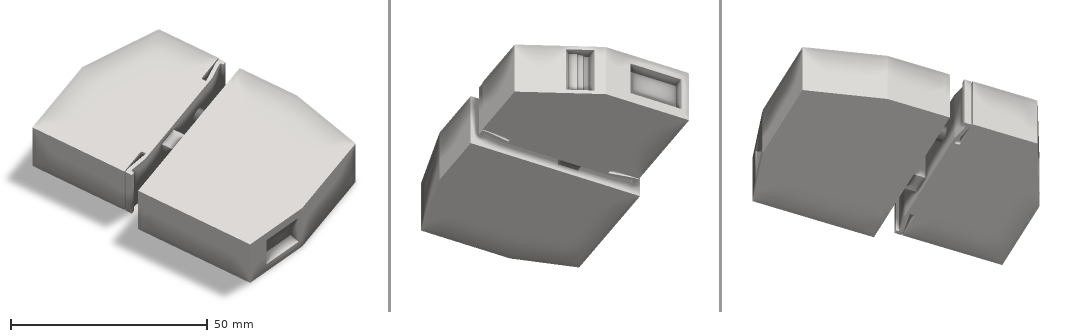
import cadquery as cq
import math

LENGTH = 72.5
WIDTH = 48.5
THICKNESS = 15.1
MID_Z = THICKNESS / 2

PLUG_END = 29.95
PLUG_FRONT = 3.55
PLUG_BEVEL_X = 9.7
PLUG_BEVEL_Y = 27.4

HEADER_START = 34.1
HEADER_TOP_BEVEL_X = 51.3
HEADER_TOP_BEVEL_Y = 42.9
HEADER_LOW_BEVEL_X = 67.8
HEADER_LOW_BEVEL_Y = 17.4

PIN_DIAMETER = 4.05
PIN_Y = 34.8
BLOCK_Y = 17.8
BLOCK_WIDTH = 5.7
BLOCK_HEIGHT = 11.1

LATCH_DEPTH = 2.25
LATCH_SLIT = 0.3
LATCH_SLIT_LENGTH = 1.6
LATCH_SLOT_LENGTH = 8.05
LATCH_SLOT_END_WIDTH = 1.45
LATCH_SLOT_RADIUS = 0.5
HOOK_REACH = 0.9
HOOK_THICKNESS = 1.1
HOOK_NECK_END = 1.8
LATCH_ROOT = 6.4
TOP_LATCH_SETBACK = 0.2
TOP_LATCH_TIP = WIDTH - TOP_LATCH_SETBACK

WINDOW_HEIGHT = 9.4
WINDOW_DEPTH = 3.05
END_WINDOW_LOW_Y = 5.8
END_WINDOW_HIGH_Y = 20.4
BEVEL_WINDOW_OFFSET = 1.2
BEVEL_WINDOW_LENGTH = 11.2

ENTRY_HIGH_Y = 36.7
ENTRY_LOW_Y = 30.1
ENTRY_HEIGHT = 12.9
ENTRY_STEPS = ((1.6, 1.8), (0.4, 1.15), (0.5, 1.1))
ENTRY_RISER_SLOPE = 0.8
PLUG_BEVEL_SLOPE = PLUG_BEVEL_X / (WIDTH - PLUG_BEVEL_Y)


def prism(points, height=THICKNESS):
    """Extrude a plan outline, centred on the part's mid-thickness."""
    base = (THICKNESS - height) / 2
    return cq.Workplane("XY").workplane(offset=base).polyline(points).close().extrude(height)


def box(x_range, y_range, height):
    """Make a mid-thickness block from its plan extents."""
    (x0, x1), (y0, y1) = x_range, y_range
    return prism([(x0, y0), (x1, y0), (x1, y1), (x0, y1)], height)


def plug_body():
    return prism([
        (0, PLUG_FRONT),
        (PLUG_END, PLUG_FRONT),
        (PLUG_END, WIDTH),
        (PLUG_BEVEL_X, WIDTH),
        (0, PLUG_BEVEL_Y),
    ])


def header_body():
    return prism([
        (HEADER_START, 0),
        (HEADER_LOW_BEVEL_X, 0),
        (LENGTH, HEADER_LOW_BEVEL_Y),
        (LENGTH, HEADER_TOP_BEVEL_Y),
        (HEADER_TOP_BEVEL_X, WIDTH),
        (HEADER_START, WIDTH),
    ])


def contacts():
    block = box((PLUG_END, HEADER_START), (BLOCK_Y, BLOCK_Y + BLOCK_WIDTH), BLOCK_HEIGHT)
    pin = (
        cq.Workplane("YZ")
        .workplane(offset=PLUG_END)
        .center(PIN_Y, MID_Z)
        .circle(PIN_DIAMETER / 2)
        .extrude(HEADER_START - PLUG_END)
    )
    return block.union(pin)


def latch_cuts(tip, inward, outer):
    """Free a hooked arm: `inward` is the Y sign into the plug, `outer` the plug edge."""
    slot_x = PLUG_END - LATCH_DEPTH
    slit_x = slot_x + LATCH_SLIT
    slot_end = tip + inward * LATCH_SLOT_LENGTH
    neck_x = PLUG_END - HOOK_REACH
    slot = prism([
        (slot_x, outer),
        (slit_x, outer),
        (slit_x, tip + inward * LATCH_SLIT_LENGTH),
        (slot_x + LATCH_SLOT_END_WIDTH, slot_end),
        (slot_x, slot_end),
    ])
    corner = cq.selectors.NearestToPointSelector((slot_x, slot_end, MID_Z))
    slot = slot.edges("|Z").edges(corner).fillet(LATCH_SLOT_RADIUS)
    relief = prism([
        (PLUG_END, tip + inward * HOOK_THICKNESS),
        (neck_x, tip + inward * HOOK_THICKNESS),
        (neck_x, tip + inward * HOOK_NECK_END),
        (PLUG_END, tip + inward * LATCH_ROOT),
    ])
    cuts = slot.union(relief)
    if tip != outer:
        cuts = cuts.union(box((slot_x, PLUG_END), sorted((tip, outer)), THICKNESS))
    return cuts


def end_window():
    return box((0, WINDOW_DEPTH), (END_WINDOW_LOW_Y, END_WINDOW_HIGH_Y), WINDOW_HEIGHT)


def bevel_window():
    """Window cut square to the header's lower bevel."""
    run_x = LENGTH - HEADER_LOW_BEVEL_X
    run_y = HEADER_LOW_BEVEL_Y
    bevel = math.hypot(run_x, run_y)
    along_x, along_y = -run_x / bevel, -run_y / bevel

    def point(along, depth):
        return (
            LENGTH + along * along_x + depth * along_y,
            HEADER_LOW_BEVEL_Y + along * along_y - depth * along_x,
        )

    start = BEVEL_WINDOW_OFFSET
    end = start + BEVEL_WINDOW_LENGTH
    corners = [point(start, 0), point(end, 0), point(end, WINDOW_DEPTH), point(start, WINDOW_DEPTH)]
    return prism(corners, WINDOW_HEIGHT)


def wire_entry():
    """Pocket whose sloping risers lead to treads parallel to the plug bevel."""
    def bevel_x(y):
        return (y - PLUG_BEVEL_Y) * PLUG_BEVEL_SLOPE

    x, y = bevel_x(ENTRY_HIGH_Y), ENTRY_HIGH_Y
    points = [(bevel_x(ENTRY_LOW_Y), ENTRY_LOW_Y), (x, y)]
    for riser, tread in ENTRY_STEPS:
        x, y = x + riser * ENTRY_RISER_SLOPE, y - riser
        points.append((x, y))
        x, y = x - tread * PLUG_BEVEL_SLOPE, y - tread
        points.append((x, y))
    return prism(points, ENTRY_HEIGHT)


plug = (
    plug_body()
    .cut(latch_cuts(TOP_LATCH_TIP, -1, WIDTH))
    .cut(latch_cuts(PLUG_FRONT, 1, PLUG_FRONT))
    .cut(end_window())
    .cut(wire_entry())
)
header = header_body().cut(bevel_window())

result = plug.union(contacts()).union(header)